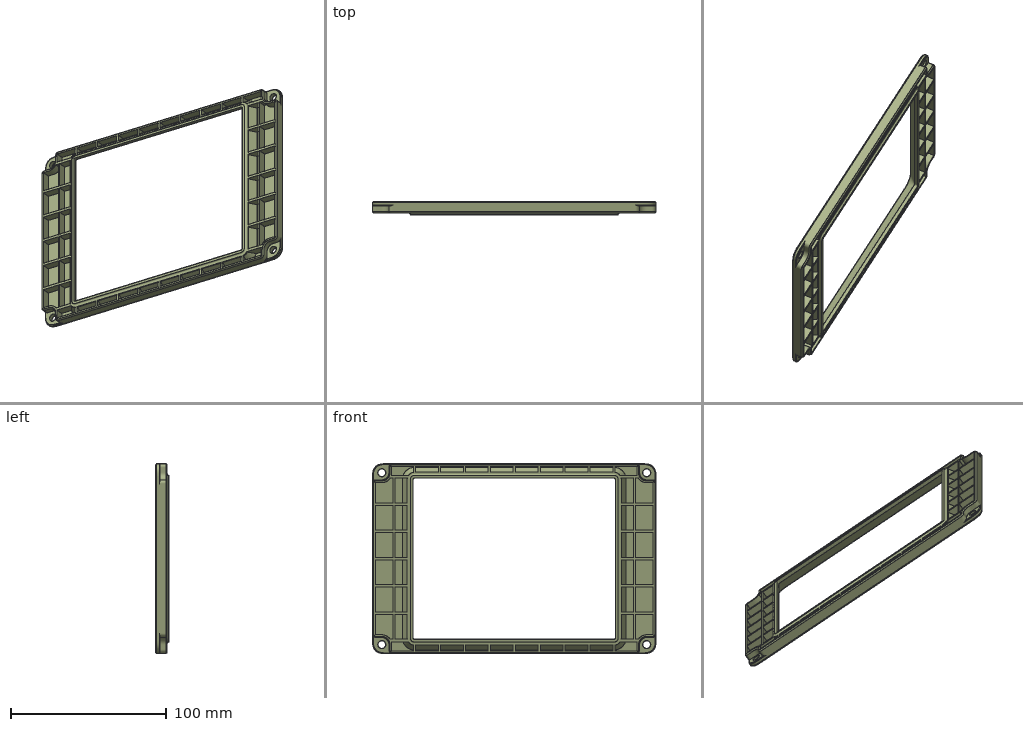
import cadquery as cq

width = 182.0
height = 122.0
depth = 8.5
back_y = depth / 2

lip_proud = 1.1
body_depth = depth - lip_proud
lug_thickness = 3.0
floor_thickness = 1.8

corner_reach = 8.0
corner_pull = 5.5
back_chamfer = 0.7
lug_chamfer = 0.5
front_chamfer_depth = 1.0
front_chamfer_inset = 0.7

screw_inset_x = 6.0
screw_inset_z = 5.8
screw_diameter = 5.0
notch_radius = 4.5
notch_mouth_radius = 2.5

window_width = 129.8
window_height = 103.4
window_radius = 1.0
window_land = 2.4
flare = depth - window_land

lip_width = 1.8
lip_base_fillet = 1.0

rim_offset = 3.8
wall_base_offset = 7.0
wall_slope_rise = 5.0

outer_wall = 1.8
notch_wall = 1.8
column_rib = 1.1
bar_rib = 1.36
side_rib = 1.6
side_rib_pitch = 17.5
side_rib_count = 5
column_rib_inset = 13.8
end_rib_inset = 7.5
end_rib = 1.8
end_rib_inner_inset = end_rib_inset + end_rib
bar_rib_pitch = 16.0
bar_rib_count = 9

corner_signs = [(sx, sz) for sx in (-1, 1) for sz in (-1, 1)]


def layer(height_above_back):
    """Workplane parallel to the back face, growing towards the front."""
    return cq.Workplane("XZ", origin=(0, back_y - height_above_back, 0))


def block(x_size, z_size, start, end, center=(0, 0)):
    """Box between two heights above the back face."""
    return layer(start).center(*center).rect(x_size, z_size).extrude(end - start)


def window_outline(offset):
    """Rounded outline a constant distance outside the window."""
    outline = cq.Sketch().rect(window_width + 2 * offset, window_height + 2 * offset)
    return outline.vertices().fillet(window_radius + offset)


def window_block(start_offset, start, end_offset, end):
    """Block around the window whose sides may slope between two heights."""
    end_outline = window_outline(end_offset).moved(cq.Location((0, 0, end - start)))
    return layer(start).placeSketch(window_outline(start_offset), end_outline).loft(ruled=True)


def notch_block(wall, start, end, sx, sz):
    """Corner block, rounded around the screw hole, grown by a wall thickness."""
    half_x = screw_inset_x + notch_radius + wall
    half_z = screw_inset_z + notch_radius + wall
    corner = block(2 * half_x, 2 * half_z, start, end, (sx * width / 2, sz * height / 2))
    return corner.edges("|Y").fillet(notch_radius + wall)


def make_corner_trim(sx, sz):
    """Sliver between a square corner and a smooth curve that rounds it off."""
    x, z = sx * width / 2, sz * height / 2
    side_start = (x - sx * corner_reach, z)
    side_pull = (x - sx * (corner_reach - corner_pull), z)
    end_pull = (x, z - sz * (corner_reach - corner_pull))
    end_start = (x, z - sz * corner_reach)
    curve = layer(0).moveTo(x, z).lineTo(*side_start)
    curve = curve.bezier([side_start, side_pull, end_pull, end_start])
    return curve.close().extrude(lug_thickness)


def make_base_plate():
    """Plate whose corners tighten smoothly towards their middle."""
    plate = block(width, height, 0, lug_thickness)
    for sx, sz in corner_signs:
        plate = plate.cut(make_corner_trim(sx, sz))
    plate = plate.faces(">Y").chamfer(back_chamfer)
    return plate.faces("<Y").chamfer(lug_chamfer)


def make_raised_body():
    """Full-depth body with the four corners cut away above the lugs."""
    body = block(width, height, back_chamfer, body_depth)
    for sx, sz in corner_signs:
        body = body.cut(notch_block(0, 0, depth, sx, sz))
    for side in (">X", "<X", ">Z", "<Z"):
        body = body.faces(side).edges("|Y").fillet(notch_mouth_radius)
    return body.faces("<Y").edges().chamfer(front_chamfer_depth, front_chamfer_inset)


def make_lip():
    """Lip on a short base, blended into it by a concave fillet all round."""
    base = window_block(rim_offset, floor_thickness, rim_offset, body_depth)
    lip = base.union(window_block(lip_width, body_depth, lip_width, depth))
    margin = 0.2
    x = window_width / 2 + lip_width + margin
    z = window_height / 2 + lip_width + margin
    front_y = back_y - body_depth
    foot = cq.selectors.BoxSelector((-x, front_y - margin, -z), (x, front_y + margin, z))
    return lip.edges(foot).fillet(lip_base_fillet)


def make_window():
    flared_part = window_block(flare, 0, 0, flare)
    return flared_part.union(window_block(0, flare, 0, depth))


def make_window_wall():
    """Wall around the window: sloped from the pocket floor, straight near the rim."""
    slope_end = floor_thickness + wall_slope_rise
    sloped_part = window_block(wall_base_offset, floor_thickness, rim_offset, slope_end)
    return sloped_part.union(window_block(rim_offset, slope_end, rim_offset, body_depth))


def rib_places(count, pitch):
    """Evenly spaced positions centred on zero."""
    return [(i - (count - 1) / 2) * pitch for i in range(count)]


def make_ribs():
    start, end = floor_thickness, body_depth
    column_height = height - 2 * end_rib_inner_inset
    end_rib_z = height / 2 - end_rib_inset - end_rib / 2
    column_rib_x = width / 2 - column_rib_inset
    bar_rib_z = (height - end_rib_inset) / 2

    ribs = cq.Workplane("XZ")
    for side in (-1, 1):
        cross_rib = block(width, end_rib, start, end, (0, side * end_rib_z))
        column = block(column_rib, column_height, start, end, (side * column_rib_x, 0))
        ribs = ribs.add(cross_rib).add(column)
        for x in rib_places(bar_rib_count, bar_rib_pitch):
            ribs = ribs.add(block(bar_rib, end_rib_inset, start, end, (x, side * bar_rib_z)))
    for z in rib_places(side_rib_count, side_rib_pitch):
        ribs = ribs.add(block(width, side_rib, start, end, (0, z)))
    return ribs.combine()


def make_pockets():
    """Everything inside the outer wall that is not rib, corner or window wall."""
    inner_width = width - 2 * outer_wall
    inner_height = height - 2 * outer_wall
    pockets = block(inner_width, inner_height, floor_thickness, body_depth)
    pockets = pockets.cut(make_window_wall()).cut(make_ribs())
    for sx, sz in corner_signs:
        pockets = pockets.cut(notch_block(notch_wall, floor_thickness, body_depth, sx, sz))
    return pockets


def make_screw_holes():
    x_spacing = width - 2 * screw_inset_x
    z_spacing = height - 2 * screw_inset_z
    holes = layer(0).rect(x_spacing, z_spacing, forConstruction=True).vertices()
    return holes.circle(screw_diameter / 2).extrude(lug_thickness)


frame = make_base_plate().union(make_raised_body())
frame = frame.cut(make_pockets())
frame = frame.union(make_lip())
frame = frame.cut(make_window())
result = frame.cut(make_screw_holes())